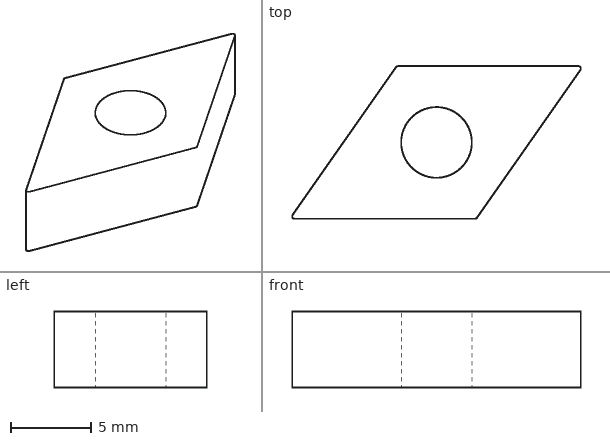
import cadquery as cq
import math

overall_length = 18.02
inscribed_diameter = 9.53
thickness = 4.75
hole_diameter = 4.4
nose_angle = math.radians(55)

side = inscribed_diameter / math.sin(nose_angle)
lean = side * math.cos(nose_angle)
sharp_length = side + lean

shortening_per_radius = 1 / math.tan(nose_angle / 2) - 1
corner_radius = (sharp_length - overall_length) / (2 * shortening_per_radius)

half_length = sharp_length / 2
half_width = inscribed_diameter / 2
corners = [
    (-half_length, -half_width),
    (half_length - lean, -half_width),
    (half_length, half_width),
    (lean - half_length, half_width),
]

plate = cq.Workplane("XY").polyline(corners).close().extrude(thickness)
plate = plate.edges("|Z").fillet(corner_radius)

result = plate.faces(">Z").workplane(origin=(0, 0, thickness)).hole(hole_diameter)